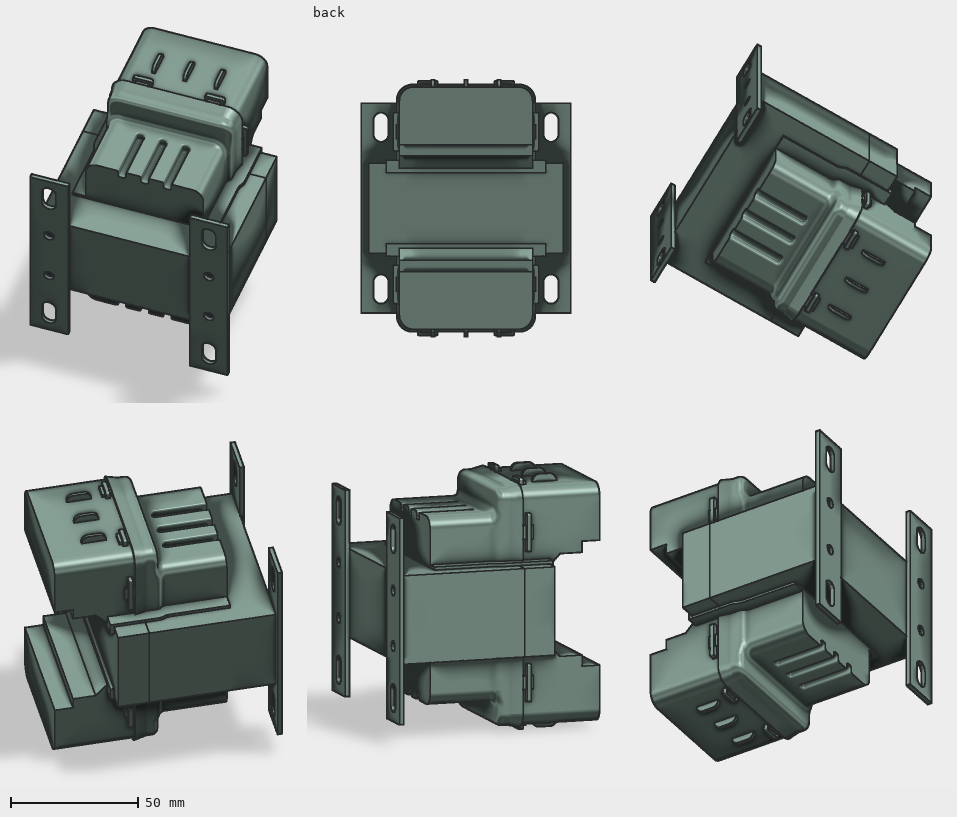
import cadquery as cq
OVERSIZE = 5.0

BRACKET_LENGTH = 82.5
BRACKET_WIDTH = 15.9
BRACKET_THICKNESS = 1.8
BRACKET_OUTER_X = 82.5 / 2
HOLE_X = 33.4
HOLE_Z = 11.1
HOLE_DIAMETER = 4.1
SLOT_Z = 31.8
SLOT_LENGTH = 11.4
SLOT_WIDTH = 5.9

CORE_WIDTH = 76.6
CORE_HEIGHT = 35.4
CORE_FRONT_Y = BRACKET_THICKNESS
CORE_SPLIT_Y = 52.9
CORE_BACK_Y = 65.5
CORE_TOP_Z = CORE_HEIGHT / 2

CAP_BACK_Y = 88.3
SHOULDER_Y = 46.3
HOUSING_HALF_WIDTH = 26.2
HOUSING_TOP_Z = 47.6
HOUSING_CORNER_RADIUS = 5.3
SHOULDER_RADIUS = 2.5
COVER_FRONT_Y = 18.4
COVER_HALF_WIDTH = 24.5
COVER_TOP_Z = 37.6
COVER_CORNER_RADIUS = 4.9
COVE_RADIUS = 3.0

COLLAR_FRONT_Y = 51.2
COLLAR_BACK_Y = 56.1
COLLAR_RISE = 1.1

STEP_FRONT_Y = 71.8
STEP_BACK_Y = 80.9
STEP_Z = 20.5
BACK_EDGE_Z = 24.9

FLANGE_THICKNESS = 1.2
FLANGE_TOP_Z = CORE_TOP_Z + FLANGE_THICKNESS
FLANGE_HALF_WIDTH_FRONT = 30.2
FLANGE_HALF_WIDTH_BACK = 31.4
FLANGE_JOG_START_Y = 42.7
FLANGE_JOG_END_Y = 47.6
LIP_THICKNESS = 1.5
LIP_BACK_Y = CORE_BACK_Y + LIP_THICKNESS
LIP_BOTTOM_Z = 13.9

GROOVE_PITCH = 9.5
GROOVE_HALF_WIDTH = 1.6
GROOVE_END_Y = 40.7
GROOVE_DEPTH = 3.2
GROOVE_CORNER_RADIUS = 1.2
GROOVE_FLOOR_RADIUS = 1.1
GROOVE_MOUTH_RADIUS = 0.9

FIN_PITCH = 13.0
FIN_WIDTH = 1.3
FIN_FRONT_Y = 64.6
FIN_BACK_Y = 74.5
FIN_TOP_Z = 50.5
FIN_CORNER_RADIUS = 2.7

LATCH_BLOCK_LENGTH = 5.5
LATCH_BLOCK_BACK_Y = 60.3
LATCH_BLOCK_RISE = 1.2
LATCH_BAR_FRONT_Y = 57.3
LATCH_BAR_BACK_Y = 59.0
LATCH_BAR_RISE = 2.5
LATCH_BAR_RADIUS = 0.8
TOP_LATCH_X = 15.0
TOP_LATCH_LENGTH = 8.0
SIDE_LATCH_Z = 30.0
SIDE_LATCH_LENGTH = 15.2


def block(x_range, y_range, z_range):
    """Axis-aligned box between the given limits."""
    (x0, x1), (y0, y1), (z0, z1) = x_range, y_range, z_range
    return cq.Workplane("XY").box(x1 - x0, y1 - y0, z1 - z0, centered=False).translate((x0, y0, z0))


def arch_outline(y, half_width, top_z, radius):
    """Outline at depth y that stands on the core and has rounded upper corners."""
    diagonal = radius * (1 - 0.5**0.5)
    return (
        cq.Workplane("XZ", origin=(0, y, 0))
        .moveTo(-half_width, CORE_TOP_Z)
        .lineTo(-half_width, top_z - radius)
        .threePointArc((diagonal - half_width, top_z - diagonal), (radius - half_width, top_z))
        .lineTo(half_width - radius, top_z)
        .threePointArc((half_width - diagonal, top_z - diagonal), (half_width, top_z - radius))
        .lineTo(half_width, CORE_TOP_Z)
        .close()
    )


def arch(front_y, back_y, half_width, top_z, radius):
    return arch_outline(back_y, half_width, top_z, radius).extrude(back_y - front_y)


def make_shell():
    """Housing and winding cover, blended by a cove that the housing sides trim, with a rounded shoulder."""
    wide_housing = block(
        (-HOUSING_HALF_WIDTH - OVERSIZE, HOUSING_HALF_WIDTH + OVERSIZE),
        (SHOULDER_Y, CAP_BACK_Y),
        (CORE_TOP_Z, HOUSING_TOP_Z + OVERSIZE),
    )
    cover = arch(COVER_FRONT_Y, COLLAR_FRONT_Y, COVER_HALF_WIDTH, COVER_TOP_Z, COVER_CORNER_RADIUS)
    seam_zone = cq.selectors.BoxSelector(
        (-COVER_HALF_WIDTH - 0.1, SHOULDER_Y - 0.1, 0),
        (COVER_HALF_WIDTH + 0.1, SHOULDER_Y + 0.1, COVER_TOP_Z + 0.1),
        boundingbox=True,
    )
    coved = wide_housing.union(cover).edges(seam_zone).fillet(COVE_RADIUS)
    trim = arch(COVER_FRONT_Y, CAP_BACK_Y, HOUSING_HALF_WIDTH, HOUSING_TOP_Z, HOUSING_CORNER_RADIUS)
    shell = coved.intersect(trim)
    shoulder_top = cq.selectors.BoxSelector(
        (-HOUSING_HALF_WIDTH, SHOULDER_Y - 0.1, HOUSING_TOP_Z - 0.1),
        (HOUSING_HALF_WIDTH, SHOULDER_Y + 0.1, HOUSING_TOP_Z + 0.1),
        boundingbox=True,
    )
    return shell.edges(shoulder_top).fillet(SHOULDER_RADIUS)


def make_collar():
    """Band that rises from the housing surface towards the back."""
    front = arch_outline(COLLAR_FRONT_Y, HOUSING_HALF_WIDTH, HOUSING_TOP_Z, HOUSING_CORNER_RADIUS)
    back = arch_outline(
        COLLAR_BACK_Y,
        HOUSING_HALF_WIDTH + COLLAR_RISE,
        HOUSING_TOP_Z + COLLAR_RISE,
        HOUSING_CORNER_RADIUS + COLLAR_RISE,
    )
    return cq.Workplane(cq.Solid.makeLoft([front.val(), back.val()], True))


def make_underside_cut():
    """Space behind the core and below the stepped underside of the housing."""
    half_width = HOUSING_HALF_WIDTH + OVERSIZE
    slope_z = STEP_Z - (STEP_FRONT_Y - LIP_BACK_Y)
    return (
        cq.Workplane("YZ", origin=(-half_width, 0, 0))
        .polyline([
            (LIP_BACK_Y, 0),
            (LIP_BACK_Y, slope_z),
            (STEP_FRONT_Y, STEP_Z),
            (STEP_BACK_Y, STEP_Z),
            (STEP_BACK_Y, BACK_EDGE_Z),
            (CAP_BACK_Y + OVERSIZE, BACK_EDGE_Z),
            (CAP_BACK_Y + OVERSIZE, 0),
        ])
        .close()
        .extrude(2 * half_width)
    )


def make_flange():
    """Plate on the core, wider at the back through an S-shaped jog, with a lip behind the core."""
    jog_middle_x = (FLANGE_HALF_WIDTH_FRONT + FLANGE_HALF_WIDTH_BACK) / 2
    jog_middle_y = (FLANGE_JOG_START_Y + FLANGE_JOG_END_Y) / 2
    half_plate = (
        cq.Workplane("XY", origin=(0, 0, CORE_TOP_Z))
        .moveTo(0, COVER_FRONT_Y)
        .lineTo(FLANGE_HALF_WIDTH_FRONT, COVER_FRONT_Y)
        .lineTo(FLANGE_HALF_WIDTH_FRONT, FLANGE_JOG_START_Y)
        .tangentArcPoint((jog_middle_x, jog_middle_y), relative=False)
        .tangentArcPoint((FLANGE_HALF_WIDTH_BACK, FLANGE_JOG_END_Y), relative=False)
        .lineTo(FLANGE_HALF_WIDTH_BACK, LIP_BACK_Y)
        .lineTo(0, LIP_BACK_Y)
        .close()
        .extrude(FLANGE_THICKNESS)
    )
    lip = block(
        (-FLANGE_HALF_WIDTH_BACK, FLANGE_HALF_WIDTH_BACK),
        (CORE_BACK_Y, LIP_BACK_Y),
        (LIP_BOTTOM_Z, FLANGE_TOP_Z),
    )
    return half_plate.union(half_plate.mirror("YZ")).union(lip)


def cut_grooves(cap):
    """Three round-bottomed grooves, open at the front, with rounded mouths."""
    floor_z = COVER_TOP_Z - GROOVE_DEPTH
    for x in (-GROOVE_PITCH, 0, GROOVE_PITCH):
        groove = (
            block(
                (x - GROOVE_HALF_WIDTH, x + GROOVE_HALF_WIDTH),
                (COVER_FRONT_Y - OVERSIZE, GROOVE_END_Y),
                (floor_z, COVER_TOP_Z + OVERSIZE),
            )
            .edges("|Z and >Y")
            .fillet(GROOVE_CORNER_RADIUS)
            .faces("<Z")
            .edges("not <Y")
            .fillet(GROOVE_FLOOR_RADIUS)
        )
        cap = cap.cut(groove)
        mouth_zone = cq.selectors.BoxSelector(
            (x - GROOVE_HALF_WIDTH - 0.1, COVER_FRONT_Y - 0.1, COVER_TOP_Z - 0.1),
            (x + GROOVE_HALF_WIDTH + 0.1, GROOVE_END_Y + 0.1, COVER_TOP_Z + 0.1),
            boundingbox=True,
        )
        cap = cap.edges(mouth_zone).edges("not <Y").fillet(GROOVE_MOUTH_RADIUS)
    return cap


def make_fin(x):
    """Upright fin with rounded ends on the housing top."""
    return (
        block(
            (x - FIN_WIDTH / 2, x + FIN_WIDTH / 2),
            (FIN_FRONT_Y, FIN_BACK_Y),
            (HOUSING_TOP_Z - 1, FIN_TOP_Z),
        )
        .faces(">Z")
        .edges("|X")
        .fillet(FIN_CORNER_RADIUS)
    )


def make_latch(bar_length):
    """Latch that stands on the plane Z = 0, centred on X = 0, with a foot sunk below that plane."""
    foot = 0.5
    low_block = block(
        (-LATCH_BLOCK_LENGTH / 2, LATCH_BLOCK_LENGTH / 2),
        (COLLAR_BACK_Y, LATCH_BLOCK_BACK_Y),
        (-foot, LATCH_BLOCK_RISE),
    )
    bar = (
        block(
            (-bar_length / 2, bar_length / 2),
            (LATCH_BAR_FRONT_Y, LATCH_BAR_BACK_Y),
            (-foot, LATCH_BAR_RISE),
        )
        .faces(">Z")
        .edges("|Y")
        .fillet(LATCH_BAR_RADIUS)
    )
    return low_block.union(bar)


def make_upper_cap():
    cap = make_shell().union(make_collar())
    cap = cap.union(block(
        (-HOUSING_HALF_WIDTH, HOUSING_HALF_WIDTH),
        (CORE_BACK_Y, CAP_BACK_Y),
        (LIP_BOTTOM_Z, CORE_TOP_Z),
    ))
    cap = cap.cut(make_underside_cut()).union(make_flange())
    cap = cut_grooves(cap)
    for x in (-FIN_PITCH, 0, FIN_PITCH):
        cap = cap.union(make_fin(x))
    top_latch = make_latch(TOP_LATCH_LENGTH)
    side_latch = make_latch(SIDE_LATCH_LENGTH)
    for side in (-1, 1):
        cap = cap.union(top_latch.translate((side * TOP_LATCH_X, 0, HOUSING_TOP_Z)))
        upright_latch = side_latch.rotate((0, 0, 0), (0, 1, 0), side * 90)
        cap = cap.union(upright_latch.translate((side * HOUSING_HALF_WIDTH, 0, SIDE_LATCH_Z)))
    return cap


def make_core_section(front_y, back_y):
    return block((-CORE_WIDTH / 2, CORE_WIDTH / 2), (front_y, back_y), (-CORE_TOP_Z, CORE_TOP_Z))


def make_bracket(side):
    """Flat mounting strip with a slot near each end and two round holes between them."""
    strip = block(
        (BRACKET_OUTER_X - BRACKET_WIDTH, BRACKET_OUTER_X),
        (0, BRACKET_THICKNESS),
        (-BRACKET_LENGTH / 2, BRACKET_LENGTH / 2),
    )
    openings = (
        cq.Workplane("XZ")
        .pushPoints([(HOLE_X, -SLOT_Z), (HOLE_X, SLOT_Z)])
        .slot2D(SLOT_LENGTH, SLOT_WIDTH, 90)
        .pushPoints([(HOLE_X, -HOLE_Z), (HOLE_X, HOLE_Z)])
        .circle(HOLE_DIAMETER / 2)
        .extrude(-BRACKET_THICKNESS)
    )
    bracket = strip.cut(openings)
    return bracket if side > 0 else bracket.mirror("YZ")


upper_cap = make_upper_cap()
lower_cap = upper_cap.mirror("XY")
main_core = make_core_section(CORE_FRONT_Y, CORE_SPLIT_Y)
closing_core = make_core_section(CORE_SPLIT_Y, CORE_BACK_Y)
brackets = [make_bracket(side) for side in (-1, 1)]

result = cq.Compound.makeCompound([
    upper_cap.val(),
    lower_cap.val(),
    main_core.val(),
    closing_core.val(),
    *[bracket.val() for bracket in brackets],
])